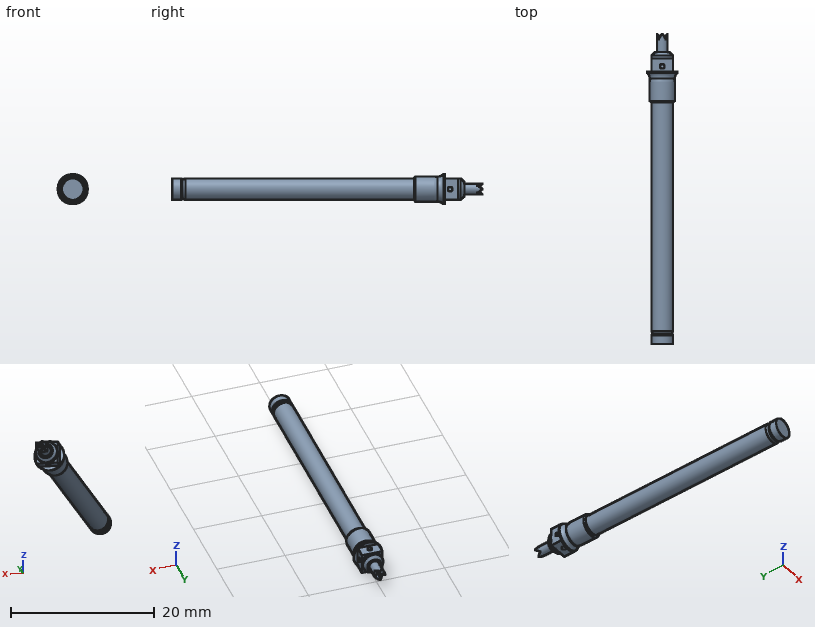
import cadquery as cq
import math

length = 43.1
tip_y = length / 2
tail_y = -length / 2

plunger_dia = 1.5
nose_dia = 2.03
barrel_dia = 3.0
collar_fillet_mid_dia = 3.2
neck_dia = 3.35
flare_end_dia = 3.55
flare_mid_dia = 3.75
collar_front_dia = 3.55
collar_dia = 3.58
flange_dia = 4.2
tail_groove_dia = 2.7

nose_start = 2.5
nose_end = 3.0
dimple_station = 4.5
block_start = 3.4
flange_start = 5.2
flange_end = 5.4
flare_mid = 5.7
flare_end = 6.2
neck_cone_end = 6.5
collar_start = 6.7
collar_end = 9.3
collar_fillet_mid = 9.4
collar_fillet_end = 9.53

tail_groove_start = 1.2
tail_groove_bottom = 1.45
tail_groove_end = 1.85

block_side = barrel_dia
dimple_dia = 0.65
dimple_depth = dimple_dia / 2

crown_groove_angle = 70.0
crown_groove_width = 1.05


def at(diameter, station):
    """Profile point at a diameter and a distance back from the tip."""
    return (diameter / 2, tip_y - station)


def turned(points):
    """Solid of revolution about Y from a closed profile of points."""
    return cq.Workplane("XY").polyline(points).close().revolve(360, (0, 0), (0, 1))


def crown_groove(turn):
    """V groove across the tip, rotated about the probe axis."""
    half_width = crown_groove_width / 2
    depth = half_width / math.tan(math.radians(crown_groove_angle / 2))
    groove = (
        cq.Workplane("XY")
        .polyline([(-half_width, tip_y), (half_width, tip_y), (0, tip_y - depth)])
        .close()
        .extrude(plunger_dia, both=True)
    )
    return groove.rotate((0, 0, 0), (0, 1, 0), turn)


def plunger():
    """Round plunger with the four-tooth crown; its base meets the nose."""
    rod = cq.Workplane("XZ", origin=(0, tip_y, 0)).circle(plunger_dia / 2).extrude(nose_start)
    for turn in (45, -45):
        rod = rod.cut(crown_groove(turn))
    return rod


def nose():
    """Conical nose with a short cylinder in front of the head block."""
    return turned([
        at(0, nose_start),
        at(nose_dia, nose_start),
        at(barrel_dia, nose_end),
        at(barrel_dia, block_start),
        at(0, block_start),
    ])


def dimple():
    """Conical dimple in the top side of the head block."""
    cone = cq.Solid.makeCone(
        dimple_dia / 2,
        0,
        dimple_depth,
        pnt=cq.Vector(0, tip_y - dimple_station, block_side / 2),
        dir=cq.Vector(0, 0, -1),
    )
    return cq.Workplane(cone)


def head_block():
    """Square block with a dimple in the middle of each of its four sides."""
    block = (
        cq.Workplane("XZ", origin=(0, tip_y - block_start, 0))
        .rect(block_side, block_side)
        .extrude(flange_start - block_start)
    )
    for turn in (0, 90, 180, 270):
        block = block.cut(dimple().rotate((0, 0, 0), (0, 1, 0), turn))
    return block


def barrel():
    """Flange, concave flare, neck, collar with a concave rear edge, and long tube down to the tail."""
    return (
        cq.Workplane("XY")
        .moveTo(*at(0, flange_start))
        .lineTo(*at(flange_dia, flange_start))
        .lineTo(*at(flange_dia, flange_end))
        .threePointArc(at(flare_mid_dia, flare_mid), at(flare_end_dia, flare_end))
        .lineTo(*at(neck_dia, flare_end))
        .lineTo(*at(collar_front_dia, neck_cone_end))
        .lineTo(*at(collar_dia, collar_start))
        .lineTo(*at(collar_dia, collar_end))
        .threePointArc(at(collar_fillet_mid_dia, collar_fillet_mid), at(barrel_dia, collar_fillet_end))
        .lineTo(*at(barrel_dia, length))
        .lineTo(*at(0, length))
        .close()
        .revolve(360, (0, 0), (0, 1))
    )


def tail_groove():
    """V-section ring removed from the barrel near the tail."""
    barrel_r = barrel_dia / 2
    return turned([
        (barrel_r, tail_y + tail_groove_start),
        (tail_groove_dia / 2, tail_y + tail_groove_bottom),
        (barrel_r, tail_y + tail_groove_end),
    ])


result = barrel().cut(tail_groove()).union(head_block()).union(nose()).union(plunger())